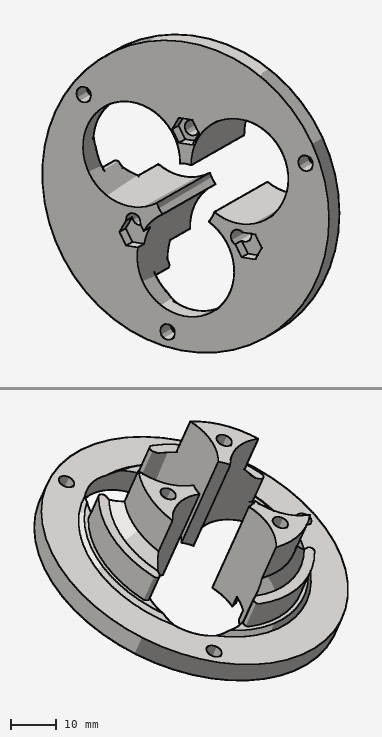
import cadquery as cq
import math

plate_radius = 35.5
plate_thickness = 5.0

bore_radius = 12.0
bore_pitch_radius = 15.5
center_hole_radius = 7.5

overall_depth = 25.0
foot_base_radius = 26.9
foot_end = 5.95
tier_radius = 25.0
tier_end = 13.0
tip_round_radius = 1.0
column_radius = 20.0
cone_end = 15.55

hole_radius = 1.8
screw_pitch_radius = 15.0
mount_pitch_radius = 32.0
mount_start_angle = 22.0
nut_across_flats = 5.75
nut_depth = 3.0
nut_centers = [(0, screw_pitch_radius), (-13.05, -10.5), (15.55, -9.0)]

bore_angles = [30, 150, 270]
web_angles = [90, 210, 330]
mount_angles = [mount_start_angle + step for step in (0, 120, 240)]


def polar(radius, angle):
    """X, Z position at an angle measured from +X toward +Z."""
    return radius * math.cos(math.radians(angle)), radius * math.sin(math.radians(angle))


def ring(radius, angles):
    return [polar(radius, angle) for angle in angles]


def face_plane(depth):
    """Plane at the given Y, with +X to the right, +Z up and its normal toward -Y."""
    return cq.Workplane("XZ", origin=(0, depth, 0))


def disk(radius, start, end):
    return face_plane(start).circle(radius).extrude(start - end)


def make_frustum(start_radius, start, end):
    """Cone that narrows at 45 degrees from start to end."""
    end_radius = start_radius - (end - start)
    profile = [(0, start), (start_radius, start), (end_radius, end), (0, end)]
    return cq.Workplane("XY").polyline(profile).close().revolve(360, (0, 0, 0), (0, 1, 0))


def through_holes(centers, radius):
    return face_plane(0).pushPoints(centers).circle(radius).extrude(-overall_depth)


def make_tier(bores):
    """Middle step, with the thin tips beside the bores rounded over."""
    tier = disk(tier_radius, plate_thickness, tier_end).cut(bores)
    return tier.edges("|Y").fillet(tip_round_radius)


def make_nut_pockets():
    corner_diameter = nut_across_flats / math.cos(math.radians(30))
    return face_plane(0).pushPoints(nut_centers).polygon(6, corner_diameter).extrude(-nut_depth)


bores = through_holes(ring(bore_pitch_radius, bore_angles), bore_radius)
cone_base_radius = column_radius + cone_end - tier_end

result = (
    disk(plate_radius, 0, plate_thickness)
    .union(make_frustum(foot_base_radius, plate_thickness, foot_end))
    .union(make_tier(bores))
    .union(make_frustum(cone_base_radius, tier_end, cone_end))
    .union(disk(column_radius, plate_thickness, overall_depth))
    .cut(bores)
    .cut(through_holes([(0, 0)], center_hole_radius))
    .cut(through_holes(ring(screw_pitch_radius, web_angles), hole_radius))
    .cut(through_holes(ring(mount_pitch_radius, mount_angles), hole_radius))
    .cut(make_nut_pockets())
)